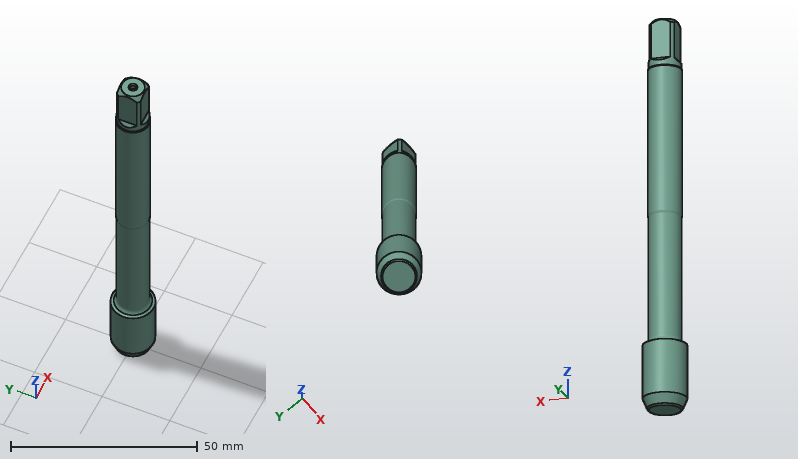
import cadquery as cq
import math

total_length = 110.0
head_length = 18.6
collar_top = 20.0
grip_bottom = 54.6
grip_top = 96.6
grip_top_bevel = 0.3
grip_bottom_taper = 0.7
square_bottom = 98.9

neck_diameter = 9.0
collar_diameter = 10.3
grip_diameter = 9.4
drive_diameter = 8.9
square_width = 7.0
square_tip_diameter = 6.4
center_hole_diameter = 2.4
center_drill_diameter = 1.6
center_drill_depth = 1.6
drill_point_angle = 118.0

head_diameter = 12.1
head_tip_diameter = 9.7
head_taper_length = 3.2
head_shoulder_drop = 0.3
head_tip_bevel = 0.4


def revolve_profile(points):
    """Revolve a closed (radius, height) outline around the Z axis."""
    return cq.Workplane("XZ").polyline(points).close().revolve(360, (0, 0, 0), (0, 1, 0))


def make_head():
    """Cylindrical cutting head with a sloped shoulder, a tapered lead and a beveled tip."""
    radius = head_diameter / 2
    return revolve_profile([
        (0, 0),
        (head_tip_diameter / 2 - head_tip_bevel, 0),
        (head_tip_diameter / 2, head_tip_bevel),
        (radius, head_taper_length),
        (radius, head_length - head_shoulder_drop),
        (collar_diameter / 2, head_length),
        (0, head_length),
    ])


def make_collar():
    """Flared foot of the shank: a concave arc that runs tangent into the neck."""
    neck_radius = neck_diameter / 2
    foot_radius = collar_diameter / 2
    flare_width = foot_radius - neck_radius
    flare_height = collar_top - head_length
    arc_radius = (flare_width**2 + flare_height**2) / (2 * flare_width)
    half_angle = math.asin(flare_height / arc_radius) / 2
    arc_middle = (
        neck_radius + arc_radius * (1 - math.cos(half_angle)),
        collar_top - arc_radius * math.sin(half_angle),
    )
    return (
        cq.Workplane("XZ")
        .moveTo(0, head_length)
        .lineTo(foot_radius, head_length)
        .threePointArc(arc_middle, (neck_radius, collar_top))
        .lineTo(0, collar_top)
        .close()
        .revolve(360, (0, 0, 0), (0, 1, 0))
    )


def make_shank_blank():
    """Stepped round shank, from the top of the collar up to the drive end."""
    neck_radius = neck_diameter / 2
    grip_radius = grip_diameter / 2
    drive_radius = drive_diameter / 2
    tip_radius = square_tip_diameter / 2
    tip_bevel = drive_radius - tip_radius
    return revolve_profile([
        (0, collar_top),
        (neck_radius, collar_top),
        (neck_radius, grip_bottom),
        (grip_radius, grip_bottom + grip_bottom_taper),
        (grip_radius, grip_top - grip_top_bevel),
        (drive_radius, grip_top),
        (drive_radius, total_length - tip_bevel),
        (tip_radius, total_length),
        (0, total_length),
    ])


def make_flat_cutter():
    """Prism that cuts one drive flat on the +X side, with a 45 degree run-out."""
    flat = square_width / 2
    outside = head_diameter / 2
    return (
        cq.Workplane("XZ")
        .polyline([
            (flat, square_bottom),
            (outside, square_bottom - (outside - flat)),
            (outside, total_length),
            (flat, total_length),
        ])
        .close()
        .extrude(head_diameter / 2, both=True)
    )


def make_center_hole():
    """Center drilling: a countersink into a short blind hole with a conical floor."""
    mouth_radius = center_hole_diameter / 2
    drill_radius = center_drill_diameter / 2
    floor_drop = drill_radius / math.tan(math.radians(drill_point_angle / 2))
    drill_end = total_length - center_drill_depth
    return revolve_profile([
        (0, total_length),
        (mouth_radius, total_length),
        (drill_radius, total_length - (mouth_radius - drill_radius)),
        (drill_radius, drill_end),
        (0, drill_end - floor_drop),
    ])


def make_shank():
    shank = make_shank_blank().union(make_collar()).cut(make_center_hole())
    for angle in (0, 90, 180, 270):
        shank = shank.cut(make_flat_cutter().rotate((0, 0, 0), (0, 0, 1), angle))
    return shank


head = make_head()
shank = make_shank()
result = cq.Compound.makeCompound([head.val(), shank.val()])